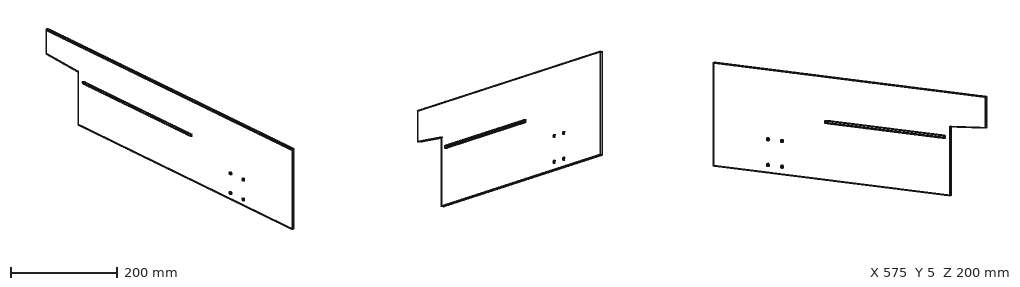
import cadquery as cq

length = 575.0
height = 200.0
thickness = 5.0

notch_width = 75.0
arm_end_depth = 60.0
arm_root_depth = 66.0

slot_start = 85.0
slot_end = 340.0
slot_width = 5.0
slot_center_height = 112.5

hole_diameter = 5.0
hole_spacing_x = 30.0
hole_spacing_z = 50.0
first_hole_x = 430.0
first_hole_z = 15.0


def make_plate():
    outline = [
        (notch_width, 0),
        (length, 0),
        (length, height),
        (0, height),
        (0, height - arm_end_depth),
        (notch_width, height - arm_root_depth),
    ]
    return cq.Workplane("XZ").polyline(outline).close().extrude(-thickness)


def make_slot():
    return (
        cq.Workplane("XZ")
        .center((slot_start + slot_end) / 2, slot_center_height)
        .slot2D(slot_end - slot_start, slot_width)
        .extrude(-thickness)
    )


def make_holes():
    pattern_center_x = first_hole_x + hole_spacing_x / 2
    pattern_center_z = first_hole_z + hole_spacing_z / 2
    return (
        cq.Workplane("XZ")
        .center(pattern_center_x, pattern_center_z)
        .rarray(hole_spacing_x, hole_spacing_z, 2, 2)
        .circle(hole_diameter / 2)
        .extrude(-thickness)
    )


result = make_plate().cut(make_slot()).cut(make_holes())